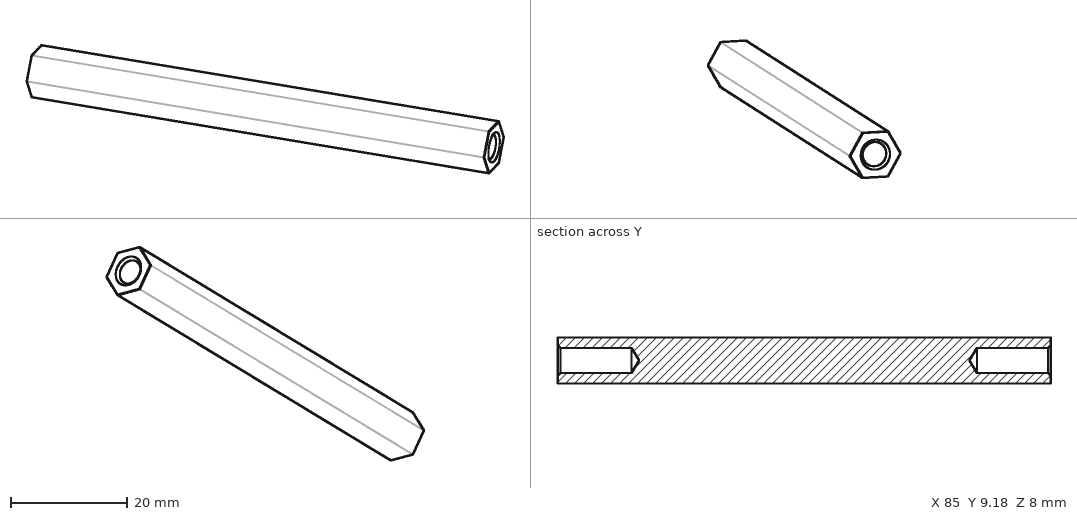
import cadquery as cq
import math

length = 85.0
across_flats = 8.0
corner_radius = 0.2
end_chamfer = 0.1

bore_diameter = 4.25
bore_depth = 12.75
drill_tip_angle = 118.0
countersink_diameter = 5.3
countersink_angle = 90.0


def hexagonal_bar():
    across_corners = across_flats / math.cos(math.radians(30))
    bar = cq.Workplane("YZ").polygon(6, across_corners).extrude(length / 2, both=True)
    rounded_bar = bar.edges("|X").fillet(corner_radius)
    return rounded_bar.faces("<X or >X").chamfer(end_chamfer)


def bore():
    """Blind bore entering the -X end: countersink, cylinder and drill tip."""
    radius = bore_diameter / 2
    mouth_radius = countersink_diameter / 2
    countersink_depth = (mouth_radius - radius) / math.tan(math.radians(countersink_angle / 2))
    tip_length = radius / math.tan(math.radians(drill_tip_angle / 2))
    face_x = -length / 2
    profile = [
        (face_x, 0),
        (face_x, mouth_radius),
        (face_x + countersink_depth, radius),
        (face_x + bore_depth, radius),
        (face_x + bore_depth + tip_length, 0),
    ]
    return cq.Workplane("XY").polyline(profile).close().revolve(360, (0, 0, 0), (1, 0, 0))


end_bore = bore()
result = hexagonal_bar().cut(end_bore).cut(end_bore.mirror("YZ"))